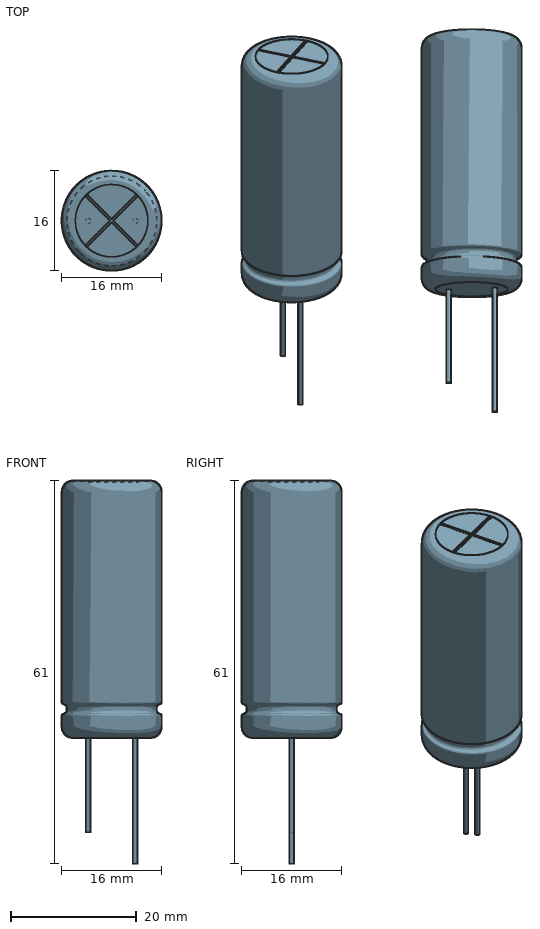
import cadquery as cq
import math

BODY_DIAMETER = 16.0
BODY_HEIGHT = 41.0
SLEEVE_THICKNESS = 0.1
SLEEVE_OPENING_DIAMETER = 11.5
RIM_RADIUS = 1.8

GROOVE_HEIGHT = 4.65
GROOVE_DIAMETER = 14.4
GROOVE_ROOT_WIDTH = 0.35
GROOVE_ROOT_RADIUS = 0.555
GROOVE_EDGE_RADIUS = 0.37

VENT_WIDTH = 0.35
VENT_DEPTH = 0.2
VENT_ANGLES = (45, 135)

LEAD_DIAMETER = 0.8
LEAD_SPACING = 7.5
LONG_LEAD_LENGTH = 20.0
SHORT_LEAD_LENGTH = 15.0

BODY_RADIUS = BODY_DIAMETER / 2
GROOVE_DEPTH = (BODY_DIAMETER - GROOVE_DIAMETER) / 2


def make_envelope(inset):
    """Solid of revolution whose skin lies `inset` inside the outer surface of the sleeve."""
    outer = BODY_RADIUS - inset
    root = outer - GROOVE_DEPTH
    rim = RIM_RADIUS - inset
    flat = outer - rim
    bottom = inset
    top = BODY_HEIGHT - inset
    diagonal = math.sqrt(0.5)

    concave = GROOVE_ROOT_RADIUS + inset
    convex = GROOVE_EDGE_RADIUS - inset
    turn = math.acos(1 - GROOVE_DEPTH / (concave + convex))
    root_end = GROOVE_ROOT_WIDTH / 2
    flank_height = root_end + concave * math.sin(turn)
    flank_radius = root + concave * (1 - math.cos(turn))
    wall_height = root_end + (concave + convex) * math.sin(turn)

    def concave_mid(side):
        return (root + concave * (1 - math.cos(turn / 2)),
                GROOVE_HEIGHT + side * (root_end + concave * math.sin(turn / 2)))

    def convex_mid(side):
        return (outer - convex * (1 - math.cos(turn / 2)),
                GROOVE_HEIGHT + side * (wall_height - convex * math.sin(turn / 2)))

    return (
        cq.Workplane("XZ")
        .moveTo(0, bottom)
        .lineTo(flat, bottom)
        .threePointArc((flat + rim * diagonal, bottom + rim * (1 - diagonal)), (outer, bottom + rim))
        .lineTo(outer, GROOVE_HEIGHT - wall_height)
        .threePointArc(convex_mid(-1), (flank_radius, GROOVE_HEIGHT - flank_height))
        .threePointArc(concave_mid(-1), (root, GROOVE_HEIGHT - root_end))
        .lineTo(root, GROOVE_HEIGHT + root_end)
        .threePointArc(concave_mid(1), (flank_radius, GROOVE_HEIGHT + flank_height))
        .threePointArc(convex_mid(1), (outer, GROOVE_HEIGHT + wall_height))
        .lineTo(outer, top - rim)
        .threePointArc((flat + rim * diagonal, top - rim * (1 - diagonal)), (flat, top))
        .lineTo(0, top)
        .close()
        .revolve(360, (0, 0, 0), (0, 1, 0))
    )


def make_sleeve():
    """Thin shrink sleeve that wraps the can and leaves both ends open."""
    openings = cq.Workplane("XY").circle(SLEEVE_OPENING_DIAMETER / 2).extrude(BODY_HEIGHT)
    return make_envelope(0).cut(make_envelope(SLEEVE_THICKNESS)).cut(openings)


def make_can():
    """Can with a scored vent cross in its top and two leads at its bottom."""
    can = make_envelope(SLEEVE_THICKNESS)
    can_top = BODY_HEIGHT - SLEEVE_THICKNESS
    for angle in VENT_ANGLES:
        score = (
            cq.Workplane("XY", origin=(0, 0, can_top - VENT_DEPTH))
            .rect(SLEEVE_OPENING_DIAMETER, VENT_WIDTH)
            .extrude(VENT_DEPTH)
            .rotate((0, 0, 0), (0, 0, 1), angle)
        )
        can = can.cut(score)
    for side, length in ((-1, SHORT_LEAD_LENGTH), (1, LONG_LEAD_LENGTH)):
        lead = (
            cq.Workplane("XY", origin=(side * LEAD_SPACING / 2, 0, -length))
            .circle(LEAD_DIAMETER / 2)
            .extrude(length + SLEEVE_THICKNESS)
        )
        can = can.union(lead)
    return can


sleeve = make_sleeve()
can = make_can()
result = cq.Compound.makeCompound([sleeve.val(), can.val()])